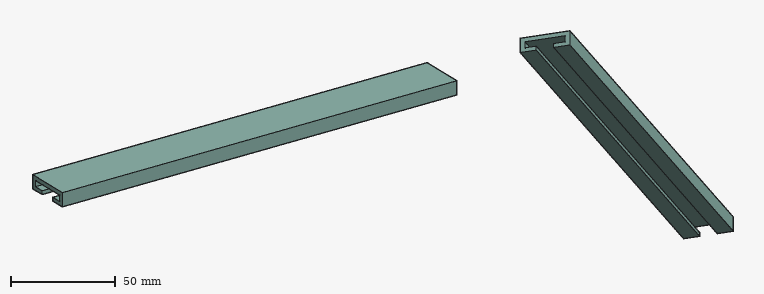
import cadquery as cq

width = 25.4
length = 228.5
height = 7.5

wall = 2.5
web_thickness = 2.3
lip_thickness = 2.0
slot_width = 9.0

cavity_width = width - 2 * wall
cavity_height = height - web_thickness - lip_thickness


def centred_bar(bar_width, bar_height, bottom):
    """Full-length bar centred on X and Y, resting at the given height."""
    return (
        cq.Workplane("XY")
        .box(bar_width, length, bar_height, centered=(True, True, False))
        .translate((0, 0, bottom))
    )


body = centred_bar(width, height, 0)
cavity = centred_bar(cavity_width, cavity_height, lip_thickness)
slot = centred_bar(slot_width, lip_thickness, 0)

result = body.cut(cavity).cut(slot)